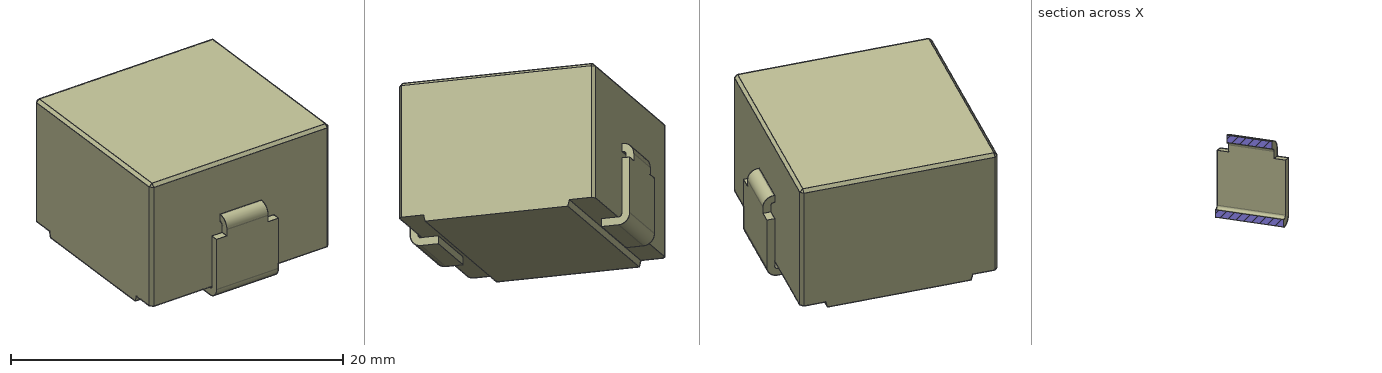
import cadquery as cq

terminal_span = 14.0
terminal_thickness = 0.5
terminal_top = 5.35
bend_inner_radius = 0.2
bend_outer_radius = bend_inner_radius + terminal_thickness
foot_length = 1.8
terminal_width = 4.5
neck_width = 3.0
shoulder_height = 4.2

body_length = 12.5
body_width = 13.0
body_top = 9.0
body_underside = terminal_thickness
body_chamfer = 0.2

pad_bottom = 0.1
pad_root_length = 9.3
pad_tip_length = 9.1


def make_body():
    height = body_top - body_underside
    block = (
        cq.Workplane("XY")
        .workplane(offset=body_underside)
        .rect(body_length, body_width)
        .extrude(height)
    )
    return block.edges("|Z or >Z").chamfer(body_chamfer)


def make_pad():
    return (
        cq.Workplane("XZ")
        .moveTo(-pad_root_length / 2, body_underside)
        .lineTo(-pad_tip_length / 2, pad_bottom)
        .lineTo(pad_tip_length / 2, pad_bottom)
        .lineTo(pad_root_length / 2, body_underside)
        .close()
        .extrude(body_width / 2, both=True)
    )


def make_left_terminal():
    outer_face = -terminal_span / 2
    inner_face = outer_face + terminal_thickness
    body_side = -body_length / 2
    foot_end = outer_face + foot_length

    strip = (
        cq.Workplane("XZ")
        .moveTo(body_side, terminal_top)
        .lineTo(outer_face + bend_outer_radius, terminal_top)
        .radiusArc((outer_face, terminal_top - bend_outer_radius), -bend_outer_radius)
        .lineTo(outer_face, bend_outer_radius)
        .radiusArc((outer_face + bend_outer_radius, 0), -bend_outer_radius)
        .lineTo(foot_end, 0)
        .lineTo(foot_end, terminal_thickness)
        .lineTo(inner_face + bend_inner_radius, terminal_thickness)
        .radiusArc((inner_face, terminal_thickness + bend_inner_radius), bend_inner_radius)
        .lineTo(inner_face, terminal_top - bend_outer_radius)
        .radiusArc(
            (inner_face + bend_inner_radius, terminal_top - terminal_thickness),
            bend_inner_radius,
        )
        .lineTo(body_side, terminal_top - terminal_thickness)
        .close()
        .extrude(terminal_width / 2, both=True)
    )

    wide_envelope = cq.Workplane("XY").box(
        terminal_span, terminal_width, shoulder_height, centered=(True, True, False)
    )
    neck_envelope = cq.Workplane("XY").box(
        terminal_span, neck_width, terminal_top, centered=(True, True, False)
    )
    return strip.intersect(wide_envelope.union(neck_envelope))


left_terminal = make_left_terminal()
right_terminal = left_terminal.mirror("YZ")

result = make_body().union(make_pad()).union(left_terminal).union(right_terminal)